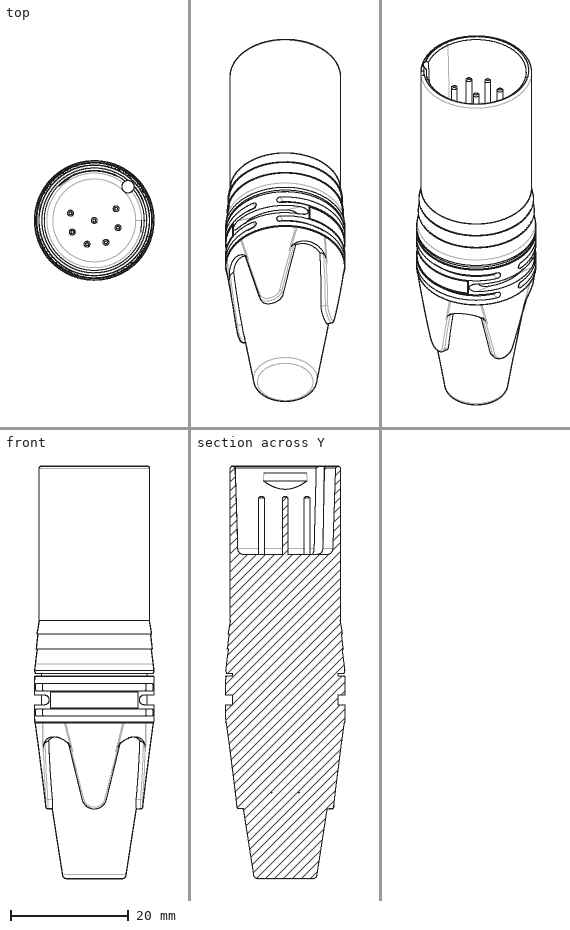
import cadquery as cq
import math

TOTAL_HEIGHT = 70.1
RING_RADIUS = 10.165
QUARTER_ANGLES = (0, 90, 180, 270)
DIAGONAL_ANGLE = 45

TUBE_RADIUS = 9.425
RIM_FILLET = 0.45
TUBE_BOTTOM_Z = 43.9
TUBE_STEP = 0.06
CONE_BOTTOM_Z = (41.55, 39.0)
CONE_BOTTOM_RADIUS = (9.76, 9.88)
CONE_STEP = 0.17
SKIRT_EDGE_RADIUS = 10.03
SKIRT_EDGE_Z = 36.45
SKIRT_Z = 35.35
SKIRT_BOTTOM_Z = 34.85
SKIRT_CHAMFER = 0.15

CORE_RADIUS = 9.0
RING_TOP_Z = 34.45
RING_BOTTOM_Z = 26.5
RING_CHAMFER = 0.12
RING_MID_Z = 30.38
SIDE_SLOT_HEIGHT = 1.2
SIDE_SLOT_OFFSET = 2.15
SIDE_SLOT_BRIDGE = 3.7
MIDDLE_SLOT_HEIGHT = 1.65
MIDDLE_SLOT_BRIDGE = 15.3
LABEL_WIDTH = 14.9
LABEL_HEIGHT = 2.7
LABEL_DEPTH = 0.12

BOOT_TOP_Z = RING_BOTTOM_Z
BOOT_TIP_RADIUS = 5.42
BOOT_CORE_TOP_RADIUS = 9.42
BOOT_TIP_FILLET = 0.7
SLEEVE_TOP_RADIUS = 10.075
SLEEVE_SLOPE = 0.128
TONGUE_TIP_RADIUS = 2.1
TONGUE_SIDE_ANGLE = 13.8
TONGUE_TIP_CENTRE_Z = 13.95
TONGUE_FILLET = 0.35
COLLAR_LAP = 0.03
ARCH_SPRING_Z = 21.6
ARCH_HALF_WIDTH = 3.45
ARCH_RISE = 2.5

CAVITY_DEPTH = 15.0
CAVITY_TOP_RADIUS = 8.5
CAVITY_FLOOR_RADIUS = 8.05
CAVITY_FILLET = 1.0
RIM_INNER_RADIUS = 8.9
RIM_INNER_CHAMFER = 0.3
KEY_RADIUS = 1.05
KEY_CENTRE_RADIUS = 8.1
LATCH_TOP_DEPTH = 1.15
LATCH_EDGE_DEPTH = 2.5
LATCH_BOTTOM_DEPTH = 4.1
LATCH_RADIUS = 5.15
LATCH_BOTTOM_RADIUS = 4.3
LATCH_CENTRE_Y = 4.0

PIN_RADIUS = 0.5
PIN_ROOT = 0.2
PIN_CHAMFER = 0.25
PIN_TIP_DEPTH = 5.2
PIN_CIRCLE_RADIUS = 4.22
PIN_COUNT = 6
PIN_START_ANGLE = 163
PIN_PITCH_ANGLE = 45

cavity_floor_z = TOTAL_HEIGHT - CAVITY_DEPTH


def revolve(profile):
    return profile.close().revolve(360, (0, 0, 0), (0, 1, 0))


def about_axis(shape, angle):
    return shape.rotate((0, 0, 0), (0, 0, 1), angle)


def housing():
    """Tube, stepped cones and the neck that carries the ring."""
    upper_z, lower_z = CONE_BOTTOM_Z
    upper_radius, lower_radius = CONE_BOTTOM_RADIUS
    profile = (
        cq.Workplane("XZ")
        .moveTo(0, TOTAL_HEIGHT)
        .lineTo(TUBE_RADIUS - RIM_FILLET, TOTAL_HEIGHT)
        .radiusArc((TUBE_RADIUS, TOTAL_HEIGHT - RIM_FILLET), RIM_FILLET)
        .lineTo(TUBE_RADIUS, TUBE_BOTTOM_Z)
        .lineTo(TUBE_RADIUS - TUBE_STEP, TUBE_BOTTOM_Z)
        .lineTo(upper_radius, upper_z)
        .lineTo(upper_radius - CONE_STEP, upper_z)
        .lineTo(lower_radius, lower_z)
        .lineTo(lower_radius - CONE_STEP, lower_z)
        .lineTo(SKIRT_EDGE_RADIUS, SKIRT_EDGE_Z)
        .lineTo(RING_RADIUS, SKIRT_Z)
        .lineTo(RING_RADIUS - SKIRT_CHAMFER, SKIRT_BOTTOM_Z)
        .lineTo(CORE_RADIUS, SKIRT_BOTTOM_Z)
        .lineTo(CORE_RADIUS, RING_BOTTOM_Z)
        .lineTo(0, RING_BOTTOM_Z)
    )
    return revolve(profile)


def slot(plane, bridge, height, z):
    """Pair of round-ended slots through the ring, leaving a bridge on each side of the centre."""
    reach = 2 * RING_RADIUS
    centre = bridge / 2 + reach / 2
    return (
        cq.Workplane(plane)
        .pushPoints([(-centre, z), (centre, z)])
        .slot2D(reach, height)
        .extrude(reach, both=True)
    )


def marking_ring():
    """Slotted ring with a shallow label panel on its front and back."""
    height = RING_TOP_Z - RING_BOTTOM_Z
    ring = (
        cq.Workplane("XY", origin=(0, 0, RING_BOTTOM_Z))
        .circle(RING_RADIUS)
        .extrude(height)
        .faces(">Z or <Z")
        .chamfer(RING_CHAMFER)
    )
    ring = ring.cut(cq.Workplane("XY", origin=(0, 0, RING_BOTTOM_Z)).circle(CORE_RADIUS).extrude(height))
    for side in (-1, 1):
        z = RING_MID_Z + side * SIDE_SLOT_OFFSET
        ring = ring.cut(slot("YZ", SIDE_SLOT_BRIDGE, SIDE_SLOT_HEIGHT, z))
    ring = ring.cut(slot("XZ", MIDDLE_SLOT_BRIDGE, MIDDLE_SLOT_HEIGHT, RING_MID_Z))
    panel = (
        cq.Workplane("XY", origin=(0, 0, RING_MID_Z))
        .box(LABEL_WIDTH, 4 * RING_RADIUS, LABEL_HEIGHT)
        .cut(
            cq.Workplane("XY")
            .circle(RING_RADIUS - LABEL_DEPTH)
            .extrude(TOTAL_HEIGHT)
        )
    )
    return ring.cut(panel)


def sleeve(bottom_z):
    """Tapered outer surface of the boot, from a chosen height up to the ring."""
    bottom_radius = SLEEVE_TOP_RADIUS - SLEEVE_SLOPE * (BOOT_TOP_Z - bottom_z)
    profile = (
        cq.Workplane("XZ")
        .moveTo(0, bottom_z)
        .lineTo(bottom_radius, bottom_z)
        .lineTo(SLEEVE_TOP_RADIUS, BOOT_TOP_Z)
        .lineTo(0, BOOT_TOP_Z)
    )
    return revolve(profile)


def tongue_prism(tip_radius):
    """V-shaped prism toward -Y with a round tip tangent to its straight sides."""
    side_angle = math.radians(TONGUE_SIDE_ANGLE)
    tangent_x = tip_radius * math.cos(side_angle)
    tangent_z = TONGUE_TIP_CENTRE_Z - tip_radius * math.sin(side_angle)
    top_x = tangent_x + (BOOT_TOP_Z - tangent_z) * math.tan(side_angle)
    return (
        cq.Workplane("XZ")
        .moveTo(-top_x, BOOT_TOP_Z)
        .lineTo(-tangent_x, tangent_z)
        .threePointArc((0, TONGUE_TIP_CENTRE_Z - tip_radius), (tangent_x, tangent_z))
        .lineTo(top_x, BOOT_TOP_Z)
        .close()
        .extrude(2 * RING_RADIUS)
    )


def tongue():
    """Tongue toward -Y with its outer edges rounded."""
    blade = sleeve(TONGUE_TIP_CENTRE_Z - TONGUE_TIP_RADIUS).intersect(tongue_prism(TONGUE_TIP_RADIUS))
    return blade.faces("%CONE").edges("not >Z").fillet(TONGUE_FILLET)


def collar():
    """Upper band of the boot between the tongue faces, with a rounded arch on each diagonal."""
    band = sleeve(ARCH_SPRING_Z)
    arch = (
        cq.Workplane("XZ", origin=(0, 0, ARCH_SPRING_Z))
        .ellipse(ARCH_HALF_WIDTH, ARCH_RISE)
        .extrude(2 * RING_RADIUS)
    )
    tongue_face = tongue_prism(TONGUE_TIP_RADIUS - TONGUE_FILLET - COLLAR_LAP)
    for angle in QUARTER_ANGLES:
        band = band.cut(about_axis(arch, angle + DIAGONAL_ANGLE), clean=False)
        band = band.cut(about_axis(tongue_face, angle), clean=False)
    return band


def boot():
    profile = (
        cq.Workplane("XZ")
        .moveTo(0, 0)
        .lineTo(BOOT_TIP_RADIUS - BOOT_TIP_FILLET, 0)
        .radiusArc((BOOT_TIP_RADIUS, BOOT_TIP_FILLET), -BOOT_TIP_FILLET)
        .lineTo(BOOT_CORE_TOP_RADIUS, BOOT_TOP_Z)
        .lineTo(0, BOOT_TOP_Z)
    )
    body = revolve(profile).union(collar(), clean=False)
    blade = tongue()
    for angle in QUARTER_ANGLES:
        body = body.union(about_axis(blade, angle), clean=False)
    return body


def cavity():
    """Slightly tapered contact cavity with a chamfered mouth and rounded floor edge."""
    chamfer_z = TOTAL_HEIGHT - RIM_INNER_CHAMFER
    profile = (
        cq.Workplane("XZ")
        .moveTo(0, cavity_floor_z)
        .lineTo(CAVITY_FLOOR_RADIUS - CAVITY_FILLET, cavity_floor_z)
        .radiusArc((CAVITY_FLOOR_RADIUS, cavity_floor_z + CAVITY_FILLET), -CAVITY_FILLET)
        .lineTo(CAVITY_TOP_RADIUS, chamfer_z)
        .lineTo(RIM_INNER_RADIUS, TOTAL_HEIGHT)
        .lineTo(0, TOTAL_HEIGHT)
    )
    return revolve(profile)


def key_groove():
    return (
        cq.Workplane("XY", origin=(0, 0, cavity_floor_z))
        .polarArray(KEY_CENTRE_RADIUS, DIAGONAL_ANGLE, 360, 1)
        .circle(KEY_RADIUS)
        .extrude(CAVITY_DEPTH)
    )


def latch_recess():
    """Undercut in the rear wall: a disc set off-centre, with a conical lower side."""
    profile = (
        cq.Workplane("XZ")
        .moveTo(0, TOTAL_HEIGHT - LATCH_BOTTOM_DEPTH)
        .lineTo(LATCH_BOTTOM_RADIUS, TOTAL_HEIGHT - LATCH_BOTTOM_DEPTH)
        .lineTo(LATCH_RADIUS, TOTAL_HEIGHT - LATCH_EDGE_DEPTH)
        .lineTo(LATCH_RADIUS, TOTAL_HEIGHT - LATCH_TOP_DEPTH)
        .lineTo(0, TOTAL_HEIGHT - LATCH_TOP_DEPTH)
    )
    return revolve(profile).translate((0, LATCH_CENTRE_Y, 0))


def pins():
    """Contacts standing on the cavity floor, rooted slightly below it."""
    places = [(0, 0)]
    for index in range(PIN_COUNT):
        angle = math.radians(PIN_START_ANGLE + index * PIN_PITCH_ANGLE)
        places.append((PIN_CIRCLE_RADIUS * math.cos(angle), PIN_CIRCLE_RADIUS * math.sin(angle)))
    return (
        cq.Workplane("XY", origin=(0, 0, cavity_floor_z - PIN_ROOT))
        .pushPoints(places)
        .circle(PIN_RADIUS)
        .extrude(CAVITY_DEPTH - PIN_TIP_DEPTH + PIN_ROOT)
        .faces(">Z")
        .chamfer(PIN_CHAMFER)
    )


result = housing().union(marking_ring()).union(boot(), clean=False)
for cutter in (cavity(), key_groove(), latch_recess()):
    result = result.cut(cutter, clean=False)
result = result.union(pins(), clean=False)